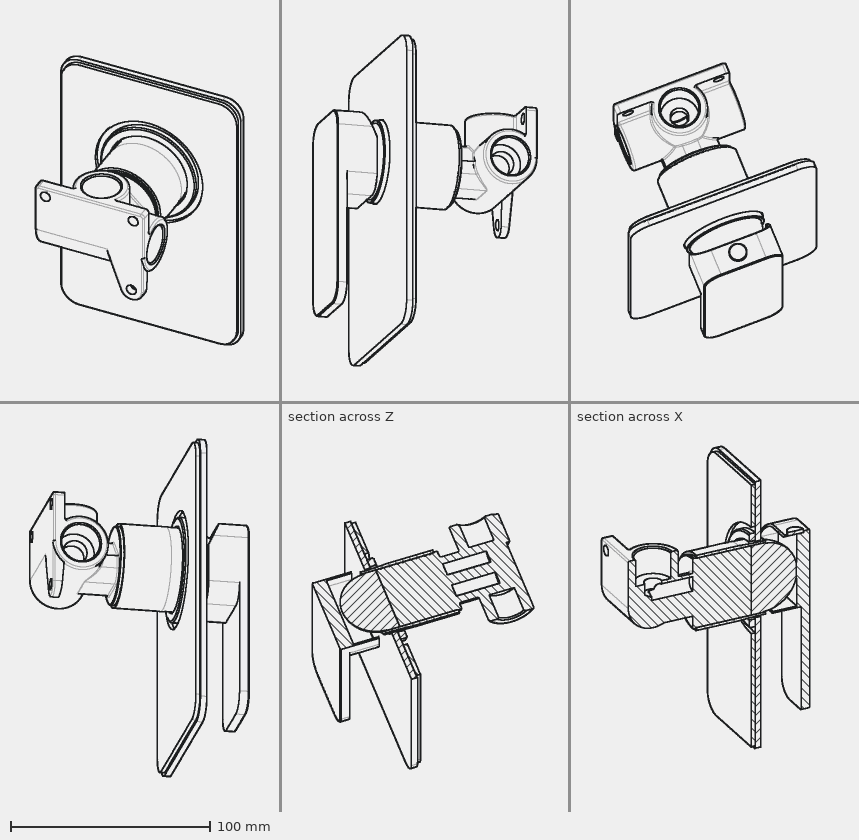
import cadquery as cq
import math


PLATE_WIDTH = 100.0
PLATE_HEIGHT = 150.0
PLATE_TOP = 55.0
PLATE_CENTRE_Z = PLATE_TOP - PLATE_HEIGHT / 2
PLATE_FRONT = 5.4
PLATE_REAR = 2.1
PLATE_CORNER = 10.0
BACKING_INSET = 1.4
BACKING_HOLE_RADIUS = 29.8

GASKET_REAR = -1.4
GASKET_RADIUS = 26.5
GASKET_BORE_RADIUS = 21.9
GASKET_CHAMFER = 0.8

SLEEVE_RADIUS = 21.3
SLEEVE_FRONT_RADIUS = 20.8
SLEEVE_BORE_RADIUS = 19.4
SLEEVE_FRONT = 8.1
SLEEVE_TAPER_START = -7.0
SLEEVE_REAR = -30.9
SLEEVE_CHAMFER = 0.3

DOME_RADIUS = SLEEVE_BORE_RADIUS
DOME_CENTRE = 6.6
DOME_TOP = 25.5

HANDLE_SIZE = 2 * SLEEVE_RADIUS
HANDLE_HALF = HANDLE_SIZE / 2
HANDLE_CORNER = 9.2
HANDLE_FRONT = 33.0
HANDLE_REAR = 12.2
HANDLE_EDGE = 0.52
HANDLE_WALL = 1.2
LEVER_THICKNESS = 5.1
LEVER_BOTTOM = -79.0
SLANT_TOP_Y = 18.8
SLANT_FOOT_Z = 7.0

PLUG_RADIUS = 4.5
PLUG_Y = 24.9
PLUG_SEAT = 0.9
PLUG_PROUD = 1.0
PLUG_CHAMFER = 0.3

BARREL_FRONT = 0.0
FLANGE_RADIUS = 20.0
FLANGE_REAR = -32.8
FLANGE_CHAMFER = 0.5
NECK_HALF_WIDTH = 14.7
NECK_BOTTOM = -12.8
NECK_CORNER = 6.3
NECK_CREST_RADIUS = 6.0
NECK_CREST_Z = 5.5
NECK_FILLET = 0.8

PORT_Y = -55.0
PORT_RADIUS = 14.1
PORT_HALF_LENGTH = 30.3
OUTLET_TOP = 26.5
PORT_END_FILLET = 1.0
PORT_JOINT_FILLET = 0.9
PORT_BORE_RADIUS = 9.8
PORT_BORE_DEPTH = 15.0
PORT_BORE_CHAMFER = 0.8
INLET_DRILL_RADIUS = 6.2
INLET_DRILL_DEPTH = 7.8
INLET_DRILL_TIP = 3.8
OUTLET_DRILL_RADIUS = 4.6
OUTLET_DRILL_TIP = 2.7
PASSAGE_RADIUS = 3.9
PASSAGE_END = -55.8
INLET_PASSAGE_X = 6.8
INLET_PASSAGE_Z = -5.2

MOUNT_REAR = PORT_Y - PORT_RADIUS
MOUNT_THICKNESS = 5.8
MOUNT_CORNER = 2.0
MOUNT_EDGE = 0.9
MOUNT_TRIM = 3.0
MOUNT_HOLE_RADIUS = 2.7
MOUNT_HOLE_X = 24.5
MOUNT_HOLE_Z = 21.5
LEG_HOLE_X = 23.4
LEG_HOLE_Z = -21.0
LEG_RADIUS = 6.3
LEG_START_X = 9.0
LEG_TIP_THICKNESS = 4.2
LEG_DRAFT_TOP = -8.2


def plane_at(y):
    """XZ work plane at the given Y, extruding toward +Y, with local x = -X."""
    return cq.Workplane(cq.Plane(origin=(0, y, 0), xDir=(-1, 0, 0), normal=(0, 1, 0)))


def disc(radius, y_rear, y_front, x=0.0, z=0.0):
    """Cylinder along Y between two Y positions."""
    return plane_at(y_rear).center(-x, z).circle(radius).extrude(y_front - y_rear)


def revolved(profile):
    """Solid of revolution about the Y axis from an outline in the XY plane."""
    return profile.close().revolve(360, (0, 0, 0), (0, 1, 0))


def rounded_slab(width, height, centre_z, y_rear, y_front, corner):
    """Rectangle with rounded corners, centred on X = 0 and extruded along Y."""
    slab = plane_at(y_rear).center(0, centre_z).rect(width, height).extrude(y_front - y_rear)
    return slab.edges("|Y").fillet(corner)


def make_face_plate():
    plate = rounded_slab(PLATE_WIDTH, PLATE_HEIGHT, PLATE_CENTRE_Z, PLATE_REAR, PLATE_FRONT, PLATE_CORNER)
    return plate.cut(disc(SLEEVE_RADIUS, PLATE_REAR, PLATE_FRONT))


def make_backing_plate():
    width = PLATE_WIDTH - 2 * BACKING_INSET
    height = PLATE_HEIGHT - 2 * BACKING_INSET
    backing = rounded_slab(width, height, PLATE_CENTRE_Z, 0, PLATE_REAR, PLATE_CORNER)
    return backing.cut(disc(BACKING_HOLE_RADIUS, 0, PLATE_REAR))


def make_gasket():
    ring = disc(GASKET_RADIUS, GASKET_REAR, PLATE_REAR).faces("<Y").chamfer(GASKET_CHAMFER)
    return ring.cut(disc(GASKET_BORE_RADIUS, GASKET_REAR, PLATE_REAR))


def make_sleeve():
    return revolved(
        cq.Workplane("XY")
        .moveTo(SLEEVE_BORE_RADIUS, SLEEVE_REAR)
        .lineTo(SLEEVE_RADIUS, SLEEVE_REAR)
        .lineTo(SLEEVE_RADIUS, SLEEVE_TAPER_START)
        .lineTo(SLEEVE_FRONT_RADIUS, SLEEVE_FRONT - SLEEVE_CHAMFER)
        .lineTo(SLEEVE_FRONT_RADIUS - SLEEVE_CHAMFER, SLEEVE_FRONT)
        .lineTo(SLEEVE_BORE_RADIUS, SLEEVE_FRONT)
    )


def make_dome():
    """Ball with a flat crown on a cylindrical skirt that fills the front of the sleeve."""
    crown_radius = math.sqrt(DOME_RADIUS**2 - (DOME_TOP - DOME_CENTRE) ** 2)
    middle = DOME_RADIUS * math.sqrt(0.5)
    return revolved(
        cq.Workplane("XY")
        .moveTo(0, BARREL_FRONT)
        .lineTo(DOME_RADIUS, BARREL_FRONT)
        .lineTo(DOME_RADIUS, DOME_CENTRE)
        .threePointArc((middle, DOME_CENTRE + middle), (crown_radius, DOME_TOP))
        .lineTo(0, DOME_TOP)
    )


def plug_cylinder(length):
    """Upright cylinder that starts on the floor of the plug seat."""
    floor_z = HANDLE_HALF - PLUG_SEAT
    return cq.Workplane("XY", origin=(0, PLUG_Y, floor_z)).circle(PLUG_RADIUS).extrude(length)


def make_handle():
    """Hollow square hub with a slanted top rear edge and a flat lever hanging from its front."""
    hub = rounded_slab(HANDLE_SIZE, HANDLE_SIZE, 0, HANDLE_REAR, HANDLE_FRONT, HANDLE_CORNER)
    lever = rounded_slab(
        HANDLE_SIZE,
        HANDLE_HALF - LEVER_BOTTOM,
        (HANDLE_HALF + LEVER_BOTTOM) / 2,
        HANDLE_FRONT - LEVER_THICKNESS,
        HANDLE_FRONT,
        HANDLE_CORNER,
    )
    handle = hub.union(lever).faces(">Y").chamfer(HANDLE_EDGE)
    slant = (
        cq.Workplane("YZ")
        .moveTo(SLANT_TOP_Y, HANDLE_HALF)
        .lineTo(HANDLE_REAR, HANDLE_HALF)
        .lineTo(HANDLE_REAR, SLANT_FOOT_Z)
        .close()
        .extrude(HANDLE_HALF, both=True)
    )
    cavity_size = HANDLE_SIZE - 2 * HANDLE_WALL
    cavity = rounded_slab(
        cavity_size, cavity_size, 0, HANDLE_REAR, DOME_TOP, HANDLE_CORNER - HANDLE_WALL
    )
    return handle.cut(slant).cut(cavity).cut(plug_cylinder(PLUG_SEAT))


def make_plug():
    return plug_cylinder(PLUG_SEAT + PLUG_PROUD).faces(">Z").chamfer(PLUG_CHAMFER)


def make_neck():
    """Upright-sided neck with rounded lower corners and a roof that slopes up to a rounded crest."""
    reach = math.hypot(NECK_HALF_WIDTH, NECK_CREST_Z)
    angle = math.acos(NECK_CREST_RADIUS / reach) - math.atan2(NECK_CREST_Z, NECK_HALF_WIDTH)
    crest_x = NECK_CREST_RADIUS * math.cos(angle)
    crest_z = NECK_CREST_Z + NECK_CREST_RADIUS * math.sin(angle)
    neck = (
        plane_at(PORT_Y)
        .moveTo(NECK_HALF_WIDTH, 0)
        .lineTo(crest_x, crest_z)
        .threePointArc((0, NECK_CREST_Z + NECK_CREST_RADIUS), (-crest_x, crest_z))
        .lineTo(-NECK_HALF_WIDTH, 0)
        .lineTo(-NECK_HALF_WIDTH, NECK_BOTTOM)
        .lineTo(NECK_HALF_WIDTH, NECK_BOTTOM)
        .close()
        .extrude(FLANGE_REAR - PORT_Y)
    )
    return neck.edges("|Y and <Z").fillet(NECK_CORNER)


def make_cartridge_housing():
    """Barrel inside the sleeve, with a flange that closes the sleeve's rear end, on the neck."""
    barrel = disc(SLEEVE_BORE_RADIUS, SLEEVE_REAR, BARREL_FRONT)
    flange = disc(FLANGE_RADIUS, FLANGE_REAR, SLEEVE_REAR).faces("<Y").chamfer(FLANGE_CHAMFER)
    housing = barrel.union(flange).union(make_neck())
    neck_root = cq.selectors.BoxSelector(
        (-FLANGE_RADIUS, FLANGE_REAR - FLANGE_CHAMFER / 2, NECK_BOTTOM - NECK_FILLET),
        (FLANGE_RADIUS, FLANGE_REAR + FLANGE_CHAMFER / 2, -NECK_BOTTOM),
    )
    rim_centre = cq.selectors.BoxSelector(
        (-NECK_FILLET, FLANGE_REAR - FLANGE_CHAMFER, -NECK_FILLET),
        (NECK_FILLET, FLANGE_REAR + FLANGE_CHAMFER, NECK_FILLET),
    )
    return housing.edges(neck_root - rim_centre).fillet(NECK_FILLET)


def make_mount_plate():
    """Rectangular plate behind the ports, with two rounded upper corners and a rounded rear rim."""
    plate = (
        plane_at(MOUNT_REAR)
        .center(0, (OUTLET_TOP - MOUNT_TRIM) / 2)
        .rect(2 * PORT_HALF_LENGTH, OUTLET_TOP + MOUNT_TRIM)
        .extrude(MOUNT_THICKNESS)
    )
    plate = plate.edges("|Y and >Z").fillet(MOUNT_CORNER)
    plate = plate.faces("<Y").edges().fillet(MOUNT_EDGE)
    trimming = (
        plane_at(MOUNT_REAR)
        .center(0, -MOUNT_TRIM / 2)
        .rect(2 * PORT_HALF_LENGTH, MOUNT_TRIM)
        .extrude(MOUNT_THICKNESS)
    )
    return plate.cut(trimming)


def make_leg():
    """Tapering leg with a round end and a rounded rear rim, thinned by a draft on its front."""
    side_x = LEG_HOLE_X + LEG_RADIUS
    run_x = LEG_HOLE_X - LEG_START_X
    distance = math.hypot(run_x, LEG_HOLE_Z)
    angle = math.atan2(-LEG_HOLE_Z, -run_x) + math.acos(LEG_RADIUS / distance)
    touch_x = LEG_HOLE_X + LEG_RADIUS * math.cos(angle)
    touch_z = LEG_HOLE_Z + LEG_RADIUS * math.sin(angle)
    leg = (
        plane_at(MOUNT_REAR)
        .moveTo(-LEG_START_X, MOUNT_TRIM)
        .lineTo(-LEG_START_X, 0)
        .lineTo(-touch_x, touch_z)
        .threePointArc((-LEG_HOLE_X, LEG_HOLE_Z - LEG_RADIUS), (-side_x, LEG_HOLE_Z))
        .lineTo(-side_x, MOUNT_TRIM)
        .close()
        .extrude(MOUNT_THICKNESS)
    )
    leg = leg.faces("<Y").edges().fillet(MOUNT_EDGE)
    front = MOUNT_REAR + MOUNT_THICKNESS
    tip_z = LEG_HOLE_Z - LEG_RADIUS
    draft = (
        cq.Workplane("YZ")
        .moveTo(front, LEG_DRAFT_TOP)
        .lineTo(front, tip_z)
        .lineTo(MOUNT_REAR + LEG_TIP_THICKNESS, tip_z)
        .close()
        .extrude(PORT_HALF_LENGTH)
    )
    return leg.cut(draft)


def port_frame(origin, outward):
    """Work plane at a port mouth, extruding outward."""
    return cq.Workplane(cq.Plane(origin=origin, xDir=(0, 1, 0), normal=outward))


def port_bore(mouth):
    """Bore of one port with a chamfered mouth."""
    mouth_radius = PORT_BORE_RADIUS + PORT_BORE_CHAMFER
    bore = mouth.circle(PORT_BORE_RADIUS).extrude(-PORT_BORE_DEPTH)
    lead_in = mouth.circle(mouth_radius).extrude(-PORT_BORE_CHAMFER, taper=45)
    return bore.union(lead_in)


def pointed_drill(start, outward, radius, depth, tip):
    """Drilling from a start point into the body, ending in a cone of the given length."""
    profile = (
        cq.Workplane(cq.Plane(origin=start, xDir=(0, 1, 0), normal=outward))
        .transformed(rotate=(90, 0, 0))
        .lineTo(radius, 0)
        .lineTo(radius, -depth)
        .lineTo(0, -depth - tip)
        .close()
    )
    return profile.revolve(360, (0, 0, 0), (0, 1, 0))


def inlet_cutter(side):
    """Bore, pointed drilling and passage to the barrel for the inlet on one side."""
    bore = port_bore(port_frame((side * PORT_HALF_LENGTH, PORT_Y, 0), (side, 0, 0)))
    start = (side * (PORT_HALF_LENGTH - PORT_BORE_DEPTH), PORT_Y, 0)
    drill = pointed_drill(start, (side, 0, 0), INLET_DRILL_RADIUS, INLET_DRILL_DEPTH, INLET_DRILL_TIP)
    passage = disc(PASSAGE_RADIUS, PASSAGE_END, FLANGE_REAR, side * INLET_PASSAGE_X, INLET_PASSAGE_Z)
    return bore.union(drill).union(passage)


def outlet_cutter():
    """Bore, drilling and passage to the barrel for the outlet on top."""
    bore = port_bore(port_frame((0, PORT_Y, OUTLET_TOP), (0, 0, 1)))
    floor_z = OUTLET_TOP - PORT_BORE_DEPTH
    depth = floor_z - NECK_CREST_Z
    drill = pointed_drill((0, PORT_Y, floor_z), (0, 0, 1), OUTLET_DRILL_RADIUS, depth, OUTLET_DRILL_TIP)
    passage = disc(PASSAGE_RADIUS, PASSAGE_END, FLANGE_REAR, 0, NECK_CREST_Z)
    return bore.union(drill).union(passage)


def make_valve_body():
    inlets = (
        port_frame((-PORT_HALF_LENGTH, PORT_Y, 0), (1, 0, 0))
        .circle(PORT_RADIUS)
        .extrude(2 * PORT_HALF_LENGTH)
        .edges()
        .fillet(PORT_END_FILLET)
    )
    outlet = (
        port_frame((0, PORT_Y, 0), (0, 0, 1))
        .circle(PORT_RADIUS)
        .extrude(OUTLET_TOP)
        .faces(">Z")
        .edges()
        .fillet(PORT_END_FILLET)
    )
    ports = inlets.union(outlet).union(make_mount_plate())
    joint_half_width = PORT_HALF_LENGTH - PORT_END_FILLET
    joint_zone = cq.selectors.BoxSelector(
        (-joint_half_width, MOUNT_REAR + MOUNT_THICKNESS / 2, 0),
        (joint_half_width, 0, OUTLET_TOP - PORT_END_FILLET / 2),
    )
    ports = ports.edges(joint_zone).fillet(PORT_JOINT_FILLET)
    body = ports.union(make_cartridge_housing())
    neck_foot = cq.selectors.BoxSelector(
        (-PORT_RADIUS - NECK_FILLET, PORT_Y, -PORT_RADIUS),
        (PORT_RADIUS + NECK_FILLET, PORT_Y + PORT_RADIUS + NECK_FILLET, PORT_RADIUS),
        boundingbox=True,
    )
    body = body.edges(neck_foot).fillet(NECK_FILLET)
    body = body.union(make_leg())
    for side in (-1, 1):
        body = body.cut(inlet_cutter(side))
        body = body.cut(disc(MOUNT_HOLE_RADIUS, MOUNT_REAR, PORT_Y, side * MOUNT_HOLE_X, MOUNT_HOLE_Z))
    body = body.cut(disc(MOUNT_HOLE_RADIUS, MOUNT_REAR, PORT_Y, LEG_HOLE_X, LEG_HOLE_Z))
    return body.cut(outlet_cutter())


face_plate = make_face_plate()
backing_plate = make_backing_plate()
gasket = make_gasket()
sleeve = make_sleeve()
dome = make_dome()
handle = make_handle()
plug = make_plug()
valve_body = make_valve_body()

result = cq.Compound.makeCompound(
    [
        face_plate.val(),
        backing_plate.val(),
        gasket.val(),
        sleeve.val(),
        dome.val(),
        handle.val(),
        plug.val(),
        valve_body.val(),
    ]
)